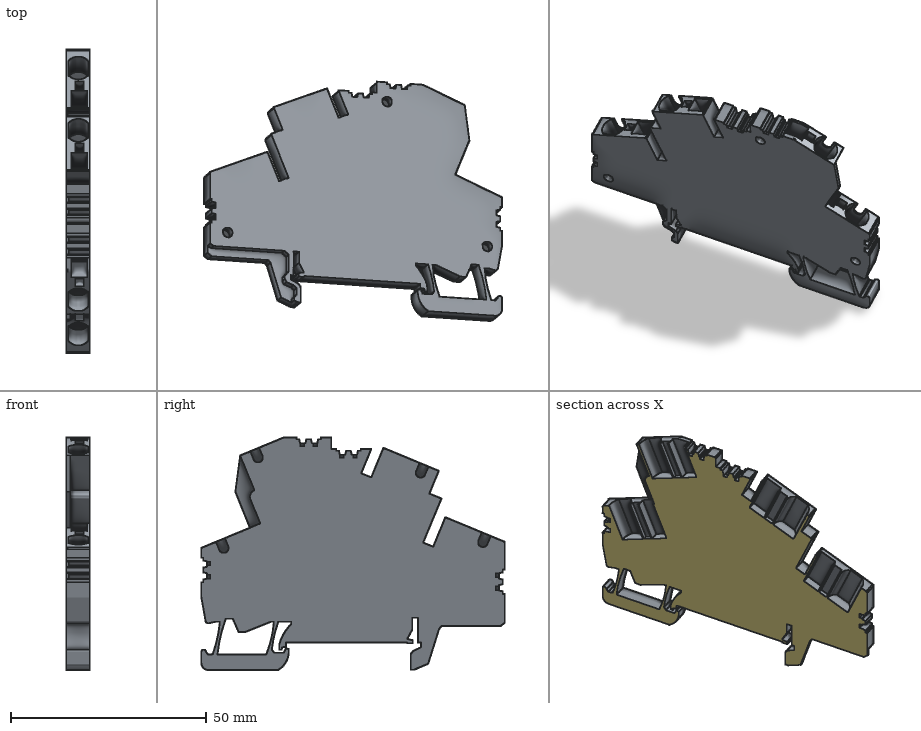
import cadquery as cq
import math


width = 6.1
length = 77.8
height = 59.7
tilt = 22.5
cos_tilt = math.cos(math.radians(tilt))
sin_tilt = math.sin(math.radians(tilt))
tan_tilt = math.tan(math.radians(tilt))

base_z = 7.1
back_bottom_z = 11.3
back_rim_z = 13.4
shoulder_z = 56.7
back_corner_z = 32.9
front_corner_z = 31.4

lower_back_face = 16.5
upper_back_face = 15.4
back_slot_depth = 8.2
back_slot_width = 2.7
riser_height = 12.2
ledge_width = 3.35
upper_block_rise = 6.3

cover_thickness = 1.1
top_step_y = 33.4
top_front_y = 21.2
upper_front_y = 10.0
upper_front_z = height - (top_front_y - upper_front_y) * tan_tilt
cover_nose = (8.7, 45.8)
cover_notch_y = 12.45
cover_notch = (cover_notch_y, front_corner_z + cover_notch_y * tan_tilt)
undercut_step = 1.9
undercut_step_z = 46.15

bevel = 0.3
skin_thickness = 0.4

comb_length = 6.2
comb_pitch = 3.0
comb_recess = 0.5
groove_depth = 1.5
groove_mouth = 1.8
groove_floor = 1.3
marker_pocket_width = 1.0
marker_pocket_depth = 0.8
marker_pocket_start = 0.6

to_front, to_back, upward, downward = (-1, 0), (1, 0), (0, 1), (0, -1)
lower_comb = ((40.85, shoulder_z), to_front, downward)
upper_comb = ((30.7, height), to_front, downward)
front_comb = ((0, 28.8), downward, to_back)
back_comb = ((length, 19.5), upward, to_front)

wire_diameter = 6.4
wire_width = 5.2
wire_flat = 1.2
wire_x = 3.1
small_square_x = 3.4
small_square = 2.2
small_square_offset = 4.75
large_x = 3.35
large_width = 4.2
large_length = 4.4
large_offset = 8.5
opening_depth = 10.35
opening_headroom = 1.55
side_notch_width = 2.5
side_notch_depth = 3.5
lower_front_wire_y = 4.9
upper_front_wire_y = 13.7
lower_back_wire_y = 73.1
upper_back_wire_y = 57.1

pin_diameter = 2.6
pin_depth = 3.1
pin_centres = [(73.15, 17.2), (30.7, 54.55), (4.0, 18.1)]

clip_corner = 1.9
lip_z = 4.7
lip_width = 1.25
clip_floor_z = 4.05
heel_floor_z = 4.5
leg_top_z = 12.4
hook_z = 5.2

foot_recess_depth = 2.6
jaw_back_y = 54.2
foot_front_y = 53.7
foot_outline = [
    (52.7, base_z), (52.85, 6.85), (54.25, 6.85), (54.25, 7.7), (52.85, 8.0), (jaw_back_y, 10.4),
    (jaw_back_y, back_rim_z), (55.6, back_rim_z), (55.6, base_z), (56.35, base_z), (56.35, 5.9),
    (54.25, 4.9), (foot_front_y, 4.1), (foot_front_y, 0.1), (54.55, 0.1), (58.2, 1.6), (61.0, 10.6),
    (61.65, back_bottom_z), (76.75, back_bottom_z), (length, 12.15),
]
foot_rim = [
    (length, 13.9), (76.9, back_rim_z), (58.1, back_rim_z), (56.9, 12.4), (56.9, 8.0), (57.9, 6.85),
    (57.9, 5.9), (57.5, 5.1), (55.65, 4.4), (54.8, 3.7), (54.8, 2.0), (55.5, 1.25), (55.5, 0), (length, 0),
]


def prism(sketch, x_start, x_end):
    """Extrude a sketch of the YZ plane between two X positions."""
    return sketch.extrude(x_end - x_start).translate((x_start, 0, 0))


def polygon(points):
    return cq.Workplane("YZ").polyline(points).close()


def along_tilt(point, forward, up):
    """Move along a back face (forward, rising) and square to it (up)."""
    y, z = point
    return (y - forward * cos_tilt + up * sin_tilt, z + forward * sin_tilt + up * cos_tilt)


def locate(start, direction, inward, local):
    """Place a point given along and into an edge that begins at start."""
    return tuple(s + local[0] * d + local[1] * i for s, d, i in zip(start, direction, inward))


def toward(point, target, distance):
    """Point at a distance from one point on the way to another."""
    share = distance / math.dist(point, target)
    return tuple(p + share * (t - p) for p, t in zip(point, target))


def comb(start, direction, inward):
    """Shallow recess with two tapered grooves in its floor."""
    local = [(0, 0), (0, comb_recess)]
    for side in (-1, 1):
        centre = (comb_length + side * comb_pitch) / 2
        local += [
            (centre - groove_mouth / 2, comb_recess),
            (centre - groove_floor / 2, groove_depth),
            (centre + groove_floor / 2, groove_depth),
            (centre + groove_mouth / 2, comb_recess),
        ]
    local += [(comb_length, comb_recess), (comb_length, 0)]
    return [locate(start, direction, inward, point) for point in local]


def back_block_points():
    """Stepped tilted blocks from the back corner up to the lower marker step."""
    moves = [
        (lower_back_face, 0),
        (0, -back_slot_depth),
        (back_slot_width, 0),
        (0, riser_height),
        (ledge_width, 0),
        (0, upper_block_rise),
        (upper_back_face, 0),
        (0, -back_slot_depth),
        (back_slot_width, 0),
    ]
    points = [(length, back_corner_z)]
    for forward, up in moves:
        points.append(along_tilt(points[-1], forward, up))
    slot_y, slot_z = points[-1]
    points.append((slot_y + (shoulder_z - slot_z) * tan_tilt, shoulder_z))
    return points


back_blocks = back_block_points()
upper_back_corner = back_blocks[6]


def upper_outline():
    """Everything above the clip, from the back corner over the top to the front end."""
    return (
        back_blocks
        + comb(*lower_comb)
        + [(top_step_y, shoulder_z), (top_step_y, height)]
        + comb(*upper_comb)
        + [(top_front_y, height), (upper_front_y, upper_front_z), cover_nose, cover_notch]
        + [(0, front_corner_z)]
        + comb(*front_comb)
        + [(0, 18.7), (1.1, 12.6)]
    )


def add_front_clip(sketch):
    """Front leg, lip and bar of the clip, then its back leg and the hooked rail jaw."""
    return (
        sketch.threePointArc((1.4, 12.15), (1.95, 12.0))
        .lineTo(3.6, leg_top_z)
        .lineTo(4.75, leg_top_z)
        .threePointArc((4.05, 7.9), (2.95, 4.2))
        .lineTo(2.65, clip_floor_z)
        .lineTo(1.8, clip_floor_z)
        .lineTo(lip_width, lip_z)
        .threePointArc((lip_width / 2, lip_z + lip_width / 2), (0, lip_z))
        .lineTo(0, clip_corner)
        .radiusArc((clip_corner, 0), -clip_corner)
        .lineTo(19.7, 0)
        .threePointArc((21.7, 2.0), (22.5, 5.0))
        .lineTo(22.5, 5.45)
        .lineTo(21.7, 5.6)
        .lineTo(21.2, heel_floor_z)
        .lineTo(18.7, heel_floor_z)
        .lineTo(18.1, 5.3)
        .threePointArc((18.7, 8.6), (19.8, leg_top_z))
        .lineTo(23.0, leg_top_z)
        .lineTo(23.0, 11.8)
        .threePointArc((21.2, 9.4), (20.0, 6.7))
        .lineTo(20.0, hook_z)
        .lineTo(20.6, hook_z)
        .lineTo(20.8, 5.8)
        .lineTo(21.8, 6.0)
        .lineTo(21.8, base_z)
    )


def slab():
    sketch = add_front_clip(cq.Workplane("YZ").polyline(upper_outline()))
    sketch = sketch.polyline(foot_outline + comb(*back_comb), includeCurrent=True).close()
    return prism(sketch, 0, width)


def clip_window():
    """Opening between the two spring legs."""
    roof_z = 13.15
    hump_z = 9.7
    sketch = (
        cq.Workplane("YZ")
        .moveTo(17.8, leg_top_z)
        .lineTo(11.2, hump_z)
        .lineTo(9.6, hump_z)
        .lineTo(8.1, roof_z)
        .lineTo(6.3, roof_z)
        .threePointArc((5.05, 9.0), (4.2, clip_floor_z))
        .lineTo(16.65, clip_floor_z)
        .threePointArc((18.0, 8.25), (18.6, leg_top_z))
        .close()
    )
    return prism(sketch, 0, width)


def undercut():
    """Recess behind the cover plate, with a rounded step down its tilted back wall."""
    step_y = upper_front_y + (upper_front_z - undercut_step_z) * tan_tilt
    step_out = (-cos_tilt * undercut_step, -sin_tilt * undercut_step)
    step_down = (sin_tilt * undercut_step, -cos_tilt * undercut_step)
    centre = (step_y + step_down[0], undercut_step_z + step_down[1])
    bulge = tuple(c + (out - down) * math.sqrt(0.5) for c, out, down in zip(centre, step_out, step_down))
    step_end = (centre[0] + step_out[0], centre[1] + step_out[1])
    drop = (step_end[1] - front_corner_z - step_end[0] * tan_tilt) * cos_tilt
    wall_foot = (step_end[0] + drop * sin_tilt, step_end[1] - drop * cos_tilt)
    sketch = (
        cq.Workplane("YZ")
        .moveTo(upper_front_y, upper_front_z)
        .lineTo(step_y, undercut_step_z)
        .threePointArc(bulge, step_end)
        .lineTo(*wall_foot)
        .lineTo(*cover_notch)
        .lineTo(*cover_nose)
        .close()
    )
    return prism(sketch, cover_thickness, width)


def corner_bevels():
    """Small bevels on the exposed corners of the blocks and marker steps."""
    outline = upper_outline()
    lower_front_corner = (0, front_corner_z)
    corners = [back_blocks[i] for i in (1, 4, 6, 7, 10)]
    corners += [(top_step_y, height), (top_front_y, height), lower_front_corner]
    triangles = [((length, back_corner_z), (length, 0), back_blocks[1])]
    for corner in corners:
        i = outline.index(corner)
        triangles.append((corner, outline[i - 1], outline[i + 1]))
    cutters = cq.Workplane("YZ")
    for corner, before, after in triangles:
        points = [corner, toward(corner, before, bevel), toward(corner, after, bevel)]
        cutters = cutters.add(prism(polygon(points), skin_thickness, width))
    return cutters.combine()


def foot_recess():
    """Set-back of the lower rim of the back end and the outer side of the back foot."""
    return prism(polygon(foot_rim), 0, foot_recess_depth)


def pin_holes():
    return prism(cq.Workplane("YZ").pushPoints(pin_centres).circle(pin_diameter / 2), 0, pin_depth)


def marker_pockets(start, direction, inward):
    """Deeper pockets in the two groove floors of one comb, on the sides away from its tooth."""
    pockets = cq.Workplane("YZ")
    bottom = groove_depth + marker_pocket_depth
    for side in (-1, 1):
        outer = (comb_length + side * (comb_pitch + groove_floor)) / 2
        inner = outer - side * marker_pocket_width
        corners = [(outer, 0), (inner, 0), (inner, bottom), (outer, bottom)]
        points = [locate(start, direction, inward, corner) for corner in corners]
        pockets = pockets.add(prism(polygon(points), marker_pocket_start, width))
    return pockets.combine()


def terminal_openings(wire_y, face_end, facing):
    """Wire hole with side notch, and two square openings, sunk square to one tilted face.

    facing is -1 for the front blocks and +1 for the back blocks.
    """
    end_y, end_z = face_end
    wire_z = end_z - facing * (wire_y - end_y) * tan_tilt
    face = cq.Plane(origin=(0, wire_y, wire_z), xDir=(1, 0, 0), normal=(0, facing * sin_tilt, cos_tilt))
    depth = opening_depth + opening_headroom

    def sunk(x, setback):
        """Sketch plane at the opening floor, set back from the wire hole along the face."""
        floor = cq.Workplane(face).workplane(offset=-opening_depth)
        return floor.center(x, -facing * setback)

    radius = wire_diameter / 2
    flat_distance = math.sqrt(radius**2 - (wire_flat / 2) ** 2)
    flat_sides = sunk(wire_x, (radius - flat_distance) / 2).rect(wire_width, radius + flat_distance)
    wire_hole = sunk(wire_x, 0).circle(radius).extrude(depth).intersect(flat_sides.extrude(depth))

    small = sunk(small_square_x, small_square_offset).rect(small_square, small_square).extrude(depth)
    large = sunk(large_x, large_offset).rect(large_width, large_length).extrude(depth)

    notch = cq.Workplane("YZ").center(wire_y, wire_z)
    notch = notch.slot2D(2 * side_notch_depth, side_notch_width, 90 - facing * tilt)
    notch = prism(notch, wire_x, width)
    return wire_hole.union(small).union(large).union(notch)


result = slab()
for cutter in (clip_window(), undercut(), corner_bevels(), foot_recess(), pin_holes()):
    result = result.cut(cutter)

for marker_comb in (lower_comb, upper_comb, front_comb, back_comb):
    result = result.cut(marker_pockets(*marker_comb))

for wire_y, face_end, facing in (
    (lower_front_wire_y, (0, front_corner_z), -1),
    (upper_front_wire_y, (upper_front_y, upper_front_z), -1),
    (lower_back_wire_y, (length, back_corner_z), 1),
    (upper_back_wire_y, upper_back_corner, 1),
):
    result = result.cut(terminal_openings(wire_y, face_end, facing))

result = result.solids()